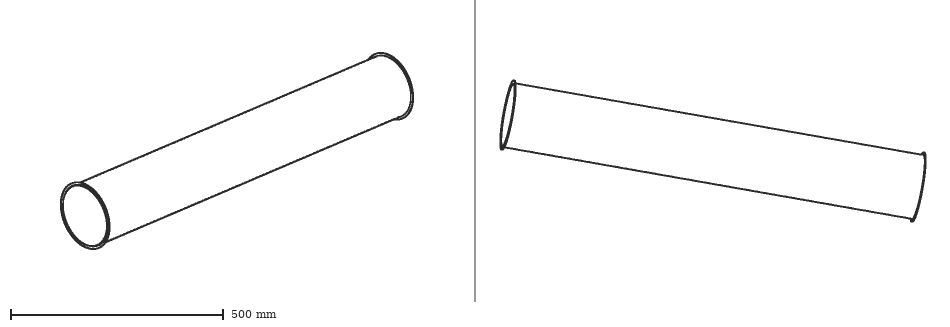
import cadquery as cq

length = 988.0
bore_diameter = 149.0
tube_diameter = 153.0
flange_diameter = 165.0
wall = (tube_diameter - bore_diameter) / 2
flange_thickness = wall


def ring(outer_diameter, start_y, end_y):
    """Ring around the Y axis, with the tube's bore, from start_y to end_y."""
    return (
        cq.Workplane("XZ", origin=(0, start_y, 0))
        .circle(outer_diameter / 2)
        .circle(bore_diameter / 2)
        .extrude(start_y - end_y)
    )


half_length = length / 2
tube = ring(tube_diameter, -half_length, half_length)

front_flange = ring(flange_diameter, -half_length, -half_length + flange_thickness)
back_flange = ring(flange_diameter, half_length - flange_thickness, half_length)

result = tube.union(front_flange).union(back_flange)